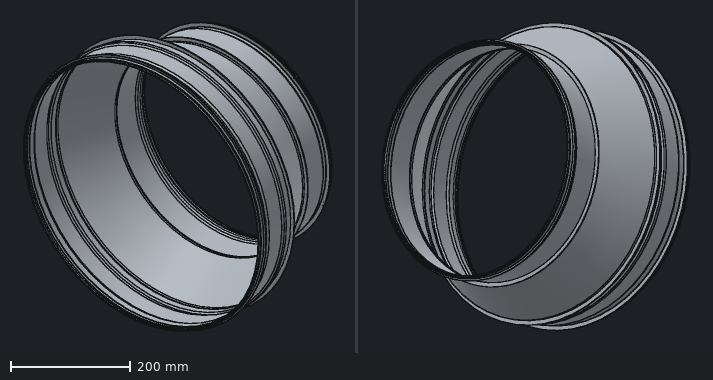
import cadquery as cq

total_length = 268.5
sheet = 0.5
wide_diameter = 498.75
narrow_diameter = 398.8

wide_joint_y = 89.7
narrow_joint_y = 192.3
wide_flange_diameter = 513.25
narrow_flange_diameter = 412.8
flange_thickness = 1.1
wide_neck_length = 5.6
narrow_neck_length = 5.1

hem_length = 2.0
hem_thickness = 2 * sheet

groove_depth = 2.4
groove_start = 6.0
groove_start_ramp = 2.0
wide_groove_end = 26.0
wide_groove_end_ramp = 4.8
narrow_groove_end = 21.3
narrow_groove_end_ramp = 3.9

bead_centre = 70.6
bead_half_width = 5.8
bead_crown_half_width = 2.8
bead_shoulder_height = 3.2
bead_crown_height = 4.0

gasket_start = 8.5
gasket_end = 14.8
gasket_base_thickness = 0.6
gasket_step_height = 1.8
short_lip_start = 6.6
short_lip_knee = 10.4
short_lip_end = 12.4
short_lip_low_height = 3.9
short_lip_high_height = 5.1
short_lip_thickness = 0.8
long_lip_height = 8.2
long_lip_thickness = 1.0
long_lip_tip_length = 2.0
long_lip_tip_height = 0.6


def revolve_about_y(section):
    """Turn a closed section, drawn with X as radius, into a ring about the Y axis."""
    return section.close().revolve(360, (0, 0, 0), (0, 1, 0))


def trace_bead(section, offset, radius, towards_joint):
    """Add the bead to a wall line, running towards the joint or back to the open end."""
    way = 1 if towards_joint else -1
    return (
        section.lineTo(radius + offset, bead_centre - way * bead_half_width)
        .lineTo(radius + offset + bead_shoulder_height, bead_centre - way * bead_crown_half_width)
        .threePointArc(
            (radius + offset + bead_crown_height, bead_centre),
            (radius + offset + bead_shoulder_height, bead_centre + way * bead_crown_half_width),
        )
        .lineTo(radius + offset, bead_centre + way * bead_half_width)
    )


def make_spigot(diameter, flange_diameter, length, groove_end, groove_end_ramp, has_bead):
    """Spigot with its open end at Y = 0 and its flange against the plane Y = length."""
    outer = diameter / 2
    inner = outer - sheet
    groove = [
        (0, groove_start),
        (groove_depth, groove_start + groove_start_ramp),
        (groove_depth, groove_end),
        (0, groove_end + groove_end_ramp),
    ]
    section = cq.Workplane("XY").moveTo(outer - hem_thickness, 0).lineTo(outer, 0)
    for depth, y in groove:
        section = section.lineTo(outer - depth, y)
    if has_bead:
        section = trace_bead(section, 0, outer, True)
    section = (
        section.lineTo(outer, length - flange_thickness)
        .lineTo(flange_diameter / 2, length - flange_thickness)
        .lineTo(flange_diameter / 2, length)
        .lineTo(inner, length)
    )
    if has_bead:
        section = trace_bead(section, -sheet, outer, False)
    for depth, y in reversed(groove):
        section = section.lineTo(inner - depth, y)
    section = section.lineTo(inner, hem_length).lineTo(outer - hem_thickness, hem_length)
    return revolve_about_y(section)


def make_gasket(diameter):
    """Double-lip gasket in the groove of a spigot whose open end is at Y = 0."""
    floor = diameter / 2 - groove_depth
    outline = [
        (0, gasket_start),
        (gasket_step_height, gasket_start),
        (short_lip_low_height, short_lip_start),
        (short_lip_high_height, short_lip_knee),
        (short_lip_high_height, short_lip_end),
        (short_lip_high_height - short_lip_thickness, short_lip_end),
        (gasket_step_height, gasket_start + short_lip_thickness),
        (gasket_base_thickness, gasket_start + short_lip_thickness),
        (gasket_base_thickness, gasket_end - long_lip_thickness),
        (long_lip_height - long_lip_tip_height, gasket_end - long_lip_thickness),
        (long_lip_height, gasket_end - long_lip_tip_length),
        (long_lip_height, gasket_end),
        (0, gasket_end),
    ]
    return revolve_about_y(cq.Workplane("XY").polyline([(floor + h, y) for h, y in outline]))


def make_cone():
    """Conical sheet with a short straight neck and a flange at each end."""
    wide = wide_diameter / 2
    narrow = narrow_diameter / 2
    wide_flange = wide_flange_diameter / 2
    narrow_flange = narrow_flange_diameter / 2
    wide_bend_y = wide_joint_y + wide_neck_length
    narrow_bend_y = narrow_joint_y - narrow_neck_length
    outline = [
        (wide - sheet, wide_joint_y),
        (wide_flange, wide_joint_y),
        (wide_flange, wide_joint_y + flange_thickness),
        (wide, wide_joint_y + flange_thickness),
        (wide, wide_bend_y),
        (narrow, narrow_bend_y),
        (narrow, narrow_joint_y - flange_thickness),
        (narrow_flange, narrow_joint_y - flange_thickness),
        (narrow_flange, narrow_joint_y),
        (narrow - sheet, narrow_joint_y),
        (narrow - sheet, narrow_bend_y),
        (wide - sheet, wide_bend_y),
    ]
    return revolve_about_y(cq.Workplane("XY").polyline(outline))


def face_narrow_end(body):
    """Turn a body built from Y = 0 around so that its open end is the narrow end."""
    return body.rotate((0, 0, 0), (0, 0, 1), 180).translate((0, total_length, 0))


wide_spigot = make_spigot(
    wide_diameter, wide_flange_diameter, wide_joint_y, wide_groove_end, wide_groove_end_ramp, True
)
narrow_spigot = face_narrow_end(
    make_spigot(
        narrow_diameter,
        narrow_flange_diameter,
        total_length - narrow_joint_y,
        narrow_groove_end,
        narrow_groove_end_ramp,
        False,
    )
)
cone = make_cone()
wide_gasket = make_gasket(wide_diameter)
narrow_gasket = face_narrow_end(make_gasket(narrow_diameter))

result = cq.Compound.makeCompound(
    [wide_spigot.val(), narrow_spigot.val(), cone.val(), wide_gasket.val(), narrow_gasket.val()]
)